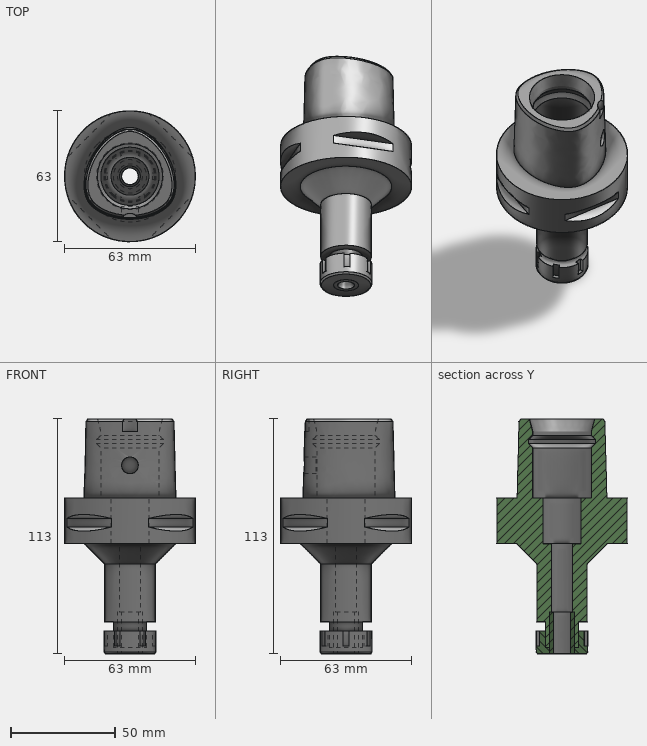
import cadquery as cq
import math


shank_length = 38.0
shank_base_radius = 22.1
shank_taper = 1 / 40
polygon_eccentricity = 1.4
shank_chamfer_height = 1.4
shank_chamfer_width = 1.0
orientation_notch_depth = 6.2
orientation_notch_radius = 4.4
orientation_notch_bottom = 17.8
side_hole_diameter = 8.0
side_hole_z = 15.6
side_hole_floor = 14.5

bore_radius = 14.0
bore_mouth_radius = 15.65
mouth_taper_depth = 6.2
clamp_groove_top_depth = 8.0
clamp_groove_bottom_depth = 14.0
clamp_groove_size = 2.0
bore_depth = shank_length
bolt_bore_radius = 9.1
bolt_bore_depth = 60.0
coolant_radius = 5.0

flange_radius = 31.5
flange_height = 22.0
slot_count = 4
slot_flat_distance = 27.7
slot_floor_height = 4.1
slot_mouth_height = 8.0
slot_z = -12.0

stem_radius = 12.2
cone_top_radius = 22.0
cone_bottom_z = -flange_height - (cone_top_radius - stem_radius)
stem_bottom_z = -59.6
neck_radius = 8.0

nut_radius = 12.5
nut_top_z = -64.0
nut_bottom_z = -75.0
nut_chamfer_height = 1.0
nut_chamfer_width = 0.6
nut_lip = 3.0
wrench_slot_count = 6
wrench_slot_width = 3.0
wrench_slot_depth = 1.7
wrench_slot_length = 7.2
collet_radius = 6.0
collet_bore_radius = 4.0
collet_length = 20.0

neck_bottom_z = nut_bottom_z + nut_lip
collet_top_z = nut_bottom_z + collet_length


def polygon_wire(mean_radius, z):
    """Closed three-lobed curve of constant width, with one lobe toward +Y."""

    def point(t):
        angle = 2 * math.pi * t
        reach = mean_radius + polygon_eccentricity * math.cos(3 * angle)
        reach_slope = -3 * polygon_eccentricity * math.sin(3 * angle)
        toward_y = reach * math.cos(angle) - reach_slope * math.sin(angle)
        toward_minus_x = reach * math.sin(angle) + reach_slope * math.cos(angle)
        return cq.Vector(-toward_minus_x, toward_y, z)

    spline_points = 72
    points = [point(i / spline_points) for i in range(spline_points)]
    return cq.Wire.assembleEdges([cq.Edge.makeSpline(points, periodic=True)])


def disc(radius, bottom_z, top_z):
    return cq.Workplane("XY").workplane(offset=bottom_z).circle(radius).extrude(top_z - bottom_z)


def make_shank():
    edge_z = shank_length - shank_chamfer_height
    edge_radius = shank_base_radius - shank_taper * edge_z
    base = polygon_wire(shank_base_radius, 0)
    edge = polygon_wire(edge_radius, edge_z)
    top = polygon_wire(edge_radius - shank_chamfer_width, shank_length)
    taper = cq.Solid.makeLoft([base, edge], True)
    chamfer = cq.Solid.makeLoft([edge, top], True)
    return cq.Workplane(taper).union(cq.Workplane(chamfer))


def make_flange_and_stem():
    return (
        cq.Workplane("XZ")
        .moveTo(0, 0)
        .lineTo(flange_radius, 0)
        .lineTo(flange_radius, -flange_height)
        .lineTo(cone_top_radius, -flange_height)
        .lineTo(stem_radius, cone_bottom_z)
        .lineTo(stem_radius, stem_bottom_z)
        .lineTo(neck_radius, stem_bottom_z)
        .lineTo(neck_radius, neck_bottom_z)
        .lineTo(0, neck_bottom_z)
        .close()
        .revolve(360, (0, 0, 0), (0, 1, 0))
    )


def make_bore():
    """Stepped bore through the holder, with the clamping groove and collet seat."""
    top = shank_length
    groove_radius = bore_radius + clamp_groove_size
    return (
        cq.Workplane("XZ")
        .moveTo(0, top)
        .lineTo(bore_mouth_radius, top)
        .lineTo(bore_radius, top - mouth_taper_depth)
        .lineTo(bore_radius, top - clamp_groove_top_depth)
        .lineTo(groove_radius, top - clamp_groove_top_depth - clamp_groove_size)
        .lineTo(groove_radius, top - clamp_groove_bottom_depth + clamp_groove_size)
        .lineTo(bore_radius, top - clamp_groove_bottom_depth)
        .lineTo(bore_radius, top - bore_depth)
        .lineTo(bolt_bore_radius, top - bore_depth)
        .lineTo(bolt_bore_radius, top - bolt_bore_depth)
        .lineTo(coolant_radius, top - bolt_bore_depth)
        .lineTo(coolant_radius, collet_top_z)
        .lineTo(collet_radius, collet_top_z)
        .lineTo(collet_radius, neck_bottom_z)
        .lineTo(0, neck_bottom_z)
        .close()
        .revolve(360, (0, 0, 0), (0, 1, 0))
    )


def make_orientation_notch():
    centre_y = -(orientation_notch_bottom + orientation_notch_radius)
    notch = disc(orientation_notch_radius, shank_length - orientation_notch_depth, shank_length)
    return notch.translate((0, centre_y, 0))


def make_side_hole():
    return (
        cq.Workplane("XZ", origin=(0, -side_hole_floor, side_hole_z))
        .circle(side_hole_diameter / 2)
        .extrude(shank_base_radius)
    )


def make_gripper_slot(angle):
    """Straight slot across the flange rim, flaring from its flat floor to the rim."""
    floor_half = slot_floor_height / 2
    mouth_half = slot_mouth_height / 2
    slot = (
        cq.Workplane("XZ")
        .moveTo(slot_flat_distance, slot_z - floor_half)
        .lineTo(flange_radius, slot_z - mouth_half)
        .lineTo(flange_radius, slot_z + mouth_half)
        .lineTo(slot_flat_distance, slot_z + floor_half)
        .close()
        .extrude(flange_radius, both=True)
    )
    return slot.rotate((0, 0, 0), (0, 0, 1), angle)


def make_holder():
    holder = make_flange_and_stem().union(make_shank())
    holder = holder.cut(make_bore())
    holder = holder.cut(make_orientation_notch())
    holder = holder.cut(make_side_hole())
    slot_spacing = 360 / slot_count
    for i in range(slot_count):
        holder = holder.cut(make_gripper_slot((i + 0.5) * slot_spacing))
    return holder


def make_nut():
    nut = (
        cq.Workplane("XZ")
        .moveTo(0, nut_top_z)
        .lineTo(nut_radius, nut_top_z)
        .lineTo(nut_radius, nut_bottom_z + nut_chamfer_height)
        .lineTo(nut_radius - nut_chamfer_width, nut_bottom_z)
        .lineTo(0, nut_bottom_z)
        .close()
        .revolve(360, (0, 0, 0), (0, 1, 0))
    )
    nut = nut.cut(disc(neck_radius, neck_bottom_z, nut_top_z))
    nut = nut.cut(disc(collet_radius, nut_bottom_z, neck_bottom_z))
    wrench_slot = cq.Workplane("XY").box(
        2 * wrench_slot_depth, wrench_slot_width, 2 * wrench_slot_length
    ).translate((nut_radius, 0, nut_top_z))
    for i in range(wrench_slot_count):
        angle = i * 360 / wrench_slot_count
        nut = nut.cut(wrench_slot.rotate((0, 0, 0), (0, 0, 1), angle))
    return nut


def make_collet():
    collet = disc(collet_radius, nut_bottom_z, collet_top_z)
    return collet.cut(disc(collet_bore_radius, nut_bottom_z, collet_top_z))


holder = make_holder()
nut = make_nut()
collet = make_collet()

result = cq.Compound.makeCompound([holder.val(), nut.val(), collet.val()])